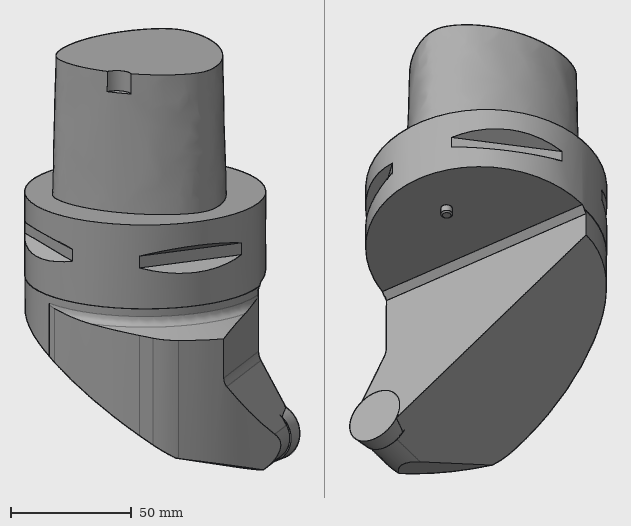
import cadquery as cq
import math

collar_radius = 50.0
collar_bottom = -36.2
neck_radius = 49.8

shank_height = 59.8
shank_base_radius = 36.0
shank_top_radius = 34.6
lobe_offset = 2.8
profile_points = 72
notch_radius = 6.1
notch_center_y = -34.8
notch_depth = 8.7

groove_count = 4
groove_z = -16.0
groove_floor_distance = 44.2
groove_floor_half = 2.5
groove_mouth_half = 5.8

head_depth = 56.1
head_side = 66.6
head_floor = -127.5
head_height = collar_bottom - head_floor
head_top_z = -42.5
head_top_slope = 16.0
head_fillet = 3.9
relief_slope = 19.5
relief_y = -54.0
relief_z = -97.0
cutter_size = 170.0

wall_radius = 7.6
nose_radius = 10.9
back_angle = 60.0
belly_angle = 30.0

undercut_edge_z = -30.5
undercut_inner_z = -34.8
corner_bevel = 2.9

nozzle_radius = 2.46
nozzle_y = 29.4
nozzle_bottom = -35.9
nozzle_chamfer = 0.7

insert_x = 55.67
insert_z = -97.66
insert_radius = 12.5
insert_thickness = 8.0
insert_clearance = 7.0


def polygon_point(radius, angle):
    """Point of the three-lobed taper outline, starting on its flat -Y side."""
    e = lobe_offset
    x = radius * math.sin(angle) + 2 * e * math.sin(2 * angle) + e * math.sin(4 * angle)
    y = -radius * math.cos(angle) + 2 * e * math.cos(2 * angle) - e * math.cos(4 * angle)
    return x, y


def make_shank():
    def outline(radius):
        return [polygon_point(radius, 2 * math.pi * i / profile_points) for i in range(profile_points)]

    shank = (
        cq.Workplane("XY")
        .spline(outline(shank_base_radius), periodic=True)
        .close()
        .workplane(offset=shank_height)
        .spline(outline(shank_top_radius), periodic=True)
        .close()
        .loft(ruled=True)
    )
    notch = (
        cq.Workplane("XY", origin=(0, notch_center_y, shank_height - notch_depth))
        .circle(notch_radius)
        .extrude(notch_depth)
    )
    return shank.cut(notch)


def make_groove():
    """Straight groove along Y, cut into the +X side, with sloping flanks."""
    mouth_x = collar_radius
    return (
        cq.Workplane("XZ", origin=(0, collar_radius, groove_z))
        .moveTo(groove_floor_distance, -groove_floor_half)
        .lineTo(mouth_x, -groove_mouth_half)
        .lineTo(mouth_x, groove_mouth_half)
        .lineTo(groove_floor_distance, groove_floor_half)
        .close()
        .extrude(2 * collar_radius)
    )


def make_collar():
    collar = cq.Workplane("XY").circle(collar_radius).extrude(collar_bottom)
    for i in range(groove_count):
        angle = 360 / groove_count * (i + 0.5)
        collar = collar.cut(make_groove().rotate((0, 0, 0), (0, 0, 1), angle))
    return collar


def make_head_prism():
    """Neck circle with a bulge toward +X and -Y, as a tall prism."""
    bulge = (
        cq.Workplane("XY", origin=(0, 0, head_floor))
        .moveTo(0, 0)
        .lineTo(-27.2, -41.8)
        .lineTo(-24.1, -43.9)
        .threePointArc((-4.2, -52.7), (17.7, -head_depth))
        .lineTo(23.8, -head_depth)
        .threePointArc((29.2, -55.2), (34.0, -53.4))
        .threePointArc((52.7, -40.0), (head_side, -18.7))
        .lineTo(head_side, 0)
        .close()
        .extrude(head_height)
    )
    neck = cq.Workplane("XY", origin=(0, 0, head_floor)).circle(neck_radius).extrude(head_height)
    return neck.union(bulge)


def make_flare():
    """Neck meeting the conical top face of the head, with a fillet between them."""
    cone_rim_radius = cutter_size / 2
    cone_drop = (cone_rim_radius - neck_radius) * math.tan(math.radians(head_top_slope))
    flare = (
        cq.Workplane("XZ")
        .moveTo(0, 0)
        .lineTo(neck_radius, 0)
        .lineTo(neck_radius, head_top_z)
        .lineTo(cone_rim_radius, head_top_z - cone_drop)
        .lineTo(cone_rim_radius, head_floor)
        .lineTo(0, head_floor)
        .close()
        .revolve(360, (0, 0, 0), (0, 1, 0))
    )
    corner = cq.selectors.BoxSelector(
        (-neck_radius - 1.7, -neck_radius - 1.7, head_top_z - 1.7),
        (neck_radius + 1.7, neck_radius + 1.7, head_top_z + 1.7),
        boundingbox=True,
    )
    return flare.edges(corner).fillet(head_fillet)


def make_side_profile():
    """XZ outline: sloping belly and back, both tangent to the round nose."""
    belly = math.radians(belly_angle)
    back = math.radians(back_angle)
    nose_belly = (insert_x - nose_radius * math.sin(belly), insert_z - nose_radius * math.cos(belly))
    nose_back = (insert_x + nose_radius * math.sin(back), insert_z + nose_radius * math.cos(back))
    middle = (back + math.pi + belly) / 2
    nose_tip = (insert_x + nose_radius * math.sin(middle), insert_z + nose_radius * math.cos(middle))
    belly_z = nose_belly[1] + (nose_belly[0] + collar_radius) * math.tan(belly)
    wall_z = nose_back[1] + (nose_back[0] - collar_radius) * math.tan(back)
    wall_corner = cq.selectors.NearestToPointSelector((collar_radius, 0, wall_z))
    return (
        cq.Workplane("XZ")
        .moveTo(-collar_radius, 0)
        .lineTo(-collar_radius, belly_z)
        .lineTo(*nose_belly)
        .threePointArc(nose_tip, nose_back)
        .lineTo(collar_radius, wall_z)
        .lineTo(collar_radius, 0)
        .close()
        .extrude(cutter_size, both=True)
        .edges(wall_corner)
        .fillet(wall_radius)
    )


def make_relief():
    """Block below the sloping relief face under the nose."""
    slope = math.radians(relief_slope)
    plane = cq.Plane(
        origin=(0, relief_y, relief_z), xDir=(1, 0, 0), normal=(0, math.sin(slope), math.cos(slope))
    )
    return cq.Workplane(plane).rect(cutter_size, cutter_size).extrude(-cutter_size)


def make_undercut():
    """Space behind the cutting face, open toward +Y and -Z."""
    return (
        cq.Workplane("YZ")
        .moveTo(collar_radius, undercut_edge_z)
        .lineTo(corner_bevel, undercut_inner_z)
        .lineTo(0, undercut_inner_z - corner_bevel)
        .lineTo(0, 2 * head_floor)
        .lineTo(collar_radius, 2 * head_floor)
        .close()
        .extrude(cutter_size, both=True)
    )


def make_nozzle():
    return (
        cq.Workplane("XY", origin=(0, nozzle_y, nozzle_bottom))
        .circle(nozzle_radius)
        .extrude(undercut_edge_z - nozzle_bottom)
        .faces("<Z")
        .chamfer(nozzle_chamfer)
    )


def make_insert():
    """Round insert, narrowing away from its cutting face at Y = 0."""
    return (
        cq.Workplane("XZ", origin=(insert_x, 0, insert_z))
        .circle(insert_radius)
        .extrude(insert_thickness, taper=insert_clearance)
    )


def make_holder(insert):
    head = make_head_prism().intersect(make_flare())
    head = head.intersect(make_side_profile()).cut(make_relief())
    holder = make_collar().union(head).cut(make_undercut())
    return holder.union(make_shank()).union(make_nozzle()).cut(insert)


insert = make_insert()
holder = make_holder(insert)
result = cq.Compound.makeCompound([holder.solids().val(), insert.val()])